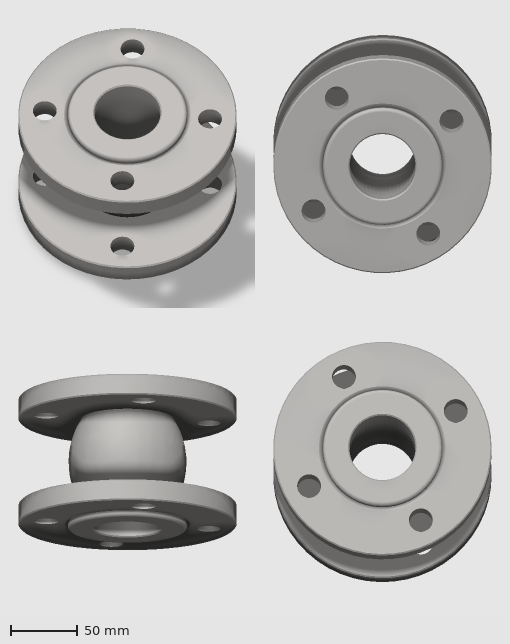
import cadquery as cq
import math

total_height = 105.0
bore_diameter = 50.0
bore_chamfer = 1.0

flange_diameter = 165.0
flange_thickness = 16.0
flange_chamfer = 1.0
bolt_hole_diameter = 18.0
bolt_circle_diameter = 125.0
bolt_count = 4

lip_height = 3.5
lip_diameter = 90.0
lip_fillet = 2.75
recess_width = 3.0
recess_slope_degrees = 28.0

body_end_diameter = 70.0
body_bulge_diameter = 89.0

half_height = total_height / 2
flange_outer_z = half_height - lip_height
flange_inner_z = flange_outer_z - flange_thickness
recess_depth = recess_width * math.tan(math.radians(recess_slope_degrees))


def make_body():
    """Revolve the bulged bellows, reaching to the inner flange faces."""
    end_radius = body_end_diameter / 2
    return (
        cq.Workplane("XZ")
        .moveTo(0, -flange_inner_z)
        .lineTo(end_radius, -flange_inner_z)
        .threePointArc((body_bulge_diameter / 2, 0), (end_radius, flange_inner_z))
        .lineTo(0, flange_inner_z)
        .close()
        .revolve(360, (0, 0, 0), (0, 1, 0))
    )


def make_flange():
    """Upper flange with edge chamfers, bolt holes and the lip recess."""
    flange = (
        cq.Workplane("XY")
        .workplane(offset=flange_inner_z)
        .circle(flange_diameter / 2)
        .extrude(flange_thickness)
        .edges()
        .chamfer(flange_chamfer)
    )
    bolt_holes = (
        cq.Workplane("XY")
        .workplane(offset=flange_inner_z)
        .polarArray(bolt_circle_diameter / 2, 180 / bolt_count, 360, bolt_count)
        .circle(bolt_hole_diameter / 2)
        .extrude(flange_thickness)
    )
    lip_radius = lip_diameter / 2
    recess = cq.Workplane(
        cq.Solid.makeCone(
            lip_radius,
            lip_radius + recess_width,
            recess_depth,
            pnt=cq.Vector(0, 0, flange_outer_z - recess_depth),
        )
    )
    return flange.cut(bolt_holes).cut(recess)


def make_lip():
    """Upper sealing lip, rising from the foot of the sloped recess and rounded at its rim."""
    return (
        cq.Workplane("XY")
        .workplane(offset=flange_outer_z - recess_depth)
        .circle(lip_diameter / 2)
        .extrude(recess_depth + lip_height)
        .faces(">Z")
        .edges()
        .fillet(lip_fillet)
    )


def make_bore():
    """Through bore, widened by a chamfer at both ends."""
    bore_radius = bore_diameter / 2
    rim_radius = bore_radius + bore_chamfer
    chamfer_z = half_height - bore_chamfer
    return (
        cq.Workplane("XZ")
        .polyline(
            [
                (0, -half_height),
                (rim_radius, -half_height),
                (bore_radius, -chamfer_z),
                (bore_radius, chamfer_z),
                (rim_radius, half_height),
                (0, half_height),
            ]
        )
        .close()
        .revolve(360, (0, 0, 0), (0, 1, 0))
    )


upper_end = make_flange().union(make_lip())
lower_end = upper_end.mirror("XY")
result = make_body().union(upper_end).union(lower_end).cut(make_bore())